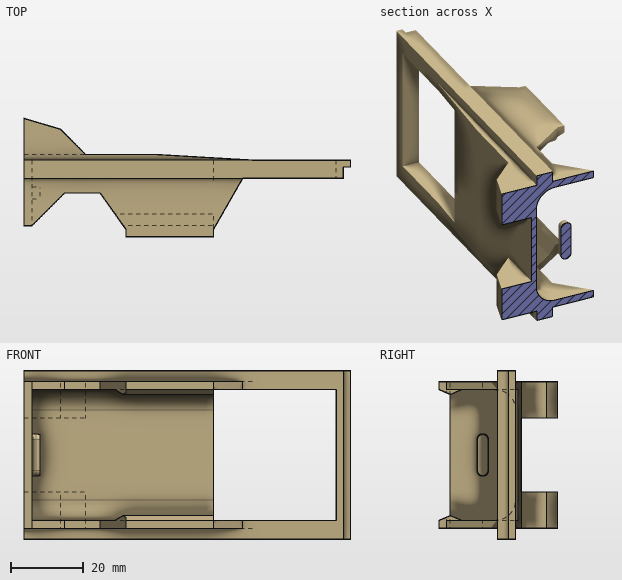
import cadquery as cq


length = 89.6
frame_height = 46.2
frame_depth = 5.0
tongue_length = 2.0
tongue_depth = 1.9
far_bar_width = 4.0

wall = 2.2
tray_half_height = 20.1
inner_half_height = tray_half_height - wall
cavity_length = 52.0
corner_radius = 5.55
front_y = -18.0
notch_y = -9.0
notch_start = 11.2
notch_end = 20.9
clip_start = 28.0
clip_end = cavity_length
clip_shoulder_y = -19.0
clip_tip_y = -21.0
wall_end = 60.0

floor_back_y = 1.6
floor_taper_start = 36.0
floor_taper_end = 63.5
boss_back_y = 11.5
boss_bend = (10.1, 8.5)
boss_end = 16.9
boss_gap = 20.2

ridge_start_y = -14.8
ridge_peak_y = -17.9
ridge_peak_height = 1.3

plug_half_height = 5.8
plug_corner_radius = 1.6
plug_thickness = 2 * plug_corner_radius
plug_straight = 1.1
plug_tapered = 1.1
plug_taper = 8.0
plug_center_y = front_y / 2


def z_prism(points, z_low, z_high):
    """Extrude an XY outline between two Z levels."""
    return cq.Workplane("XY").workplane(offset=z_low).polyline(points).close().extrude(z_high - z_low)


def block(x_range, y_range, half_height):
    """Box centred on Z = 0."""
    (x0, x1), (y0, y1) = x_range, y_range
    return z_prism([(x0, y0), (x1, y0), (x1, y1), (x0, y1)], -half_height, half_height)


def make_frame():
    shoulder_x = length - tongue_length
    outline = [
        (0, 0),
        (length, 0),
        (length, -tongue_depth),
        (shoulder_x, -tongue_depth),
        (shoulder_x, -frame_depth),
        (0, -frame_depth),
    ]
    return z_prism(outline, -frame_height / 2, frame_height / 2)


def make_tray_block():
    """Solid envelope of the side walls, floor and rear bosses."""
    outline = [
        (0, front_y),
        (wall, front_y),
        (notch_start, notch_y),
        (notch_end, notch_y),
        (clip_start, clip_shoulder_y),
        (clip_start, clip_tip_y),
        (clip_end, clip_tip_y),
        (clip_end, clip_shoulder_y),
        (wall_end, -frame_depth),
        (floor_taper_end, 0),
        (floor_taper_start, floor_back_y),
        (boss_end, floor_back_y),
        boss_bend,
        (0, boss_back_y),
    ]
    return z_prism(outline, -tray_half_height, tray_half_height)


def make_cavity():
    """Trough above the floor, rounded along both floor corners."""
    trough = block((wall, cavity_length), (clip_tip_y, 0), inner_half_height)
    return trough.edges("|X and >Y").fillet(corner_radius)


def make_opening():
    """Window through the frame beyond the floor."""
    return block((cavity_length, length - far_bar_width), (clip_tip_y, boss_back_y), inner_half_height)


def make_boss_gap():
    return block((0, boss_end), (floor_back_y, boss_back_y), boss_gap / 2)


def make_ridge(side):
    """Wedge-shaped clip ridge on the wall at the given side (+1 top, -1 bottom)."""
    root_z = side * tray_half_height
    wall_z = side * inner_half_height
    section = [
        (ridge_start_y, root_z),
        (ridge_start_y, wall_z),
        (ridge_peak_y, wall_z - side * ridge_peak_height),
        (clip_tip_y, wall_z),
        (clip_tip_y, root_z),
    ]
    return (
        cq.Workplane("YZ").workplane(offset=notch_end)
        .polyline(section).close().extrude(clip_end - notch_end)
    )


def make_plug():
    """Rounded plug standing on the end wall, with a tapered tip."""
    along_z = 90

    def section(x):
        return (
            cq.Workplane("YZ", origin=(x, plug_center_y, 0))
            .slot2D(2 * plug_half_height, plug_thickness, along_z)
        )

    base = section(wall).extrude(plug_straight)
    tip = section(wall + plug_straight).extrude(plug_tapered, taper=plug_taper)
    return base.union(tip)


tray_block = make_tray_block()
result = make_frame().union(tray_block).cut(make_cavity()).cut(make_opening()).cut(make_boss_gap())
for side in (1, -1):
    result = result.union(make_ridge(side).intersect(tray_block))
result = result.union(make_plug())